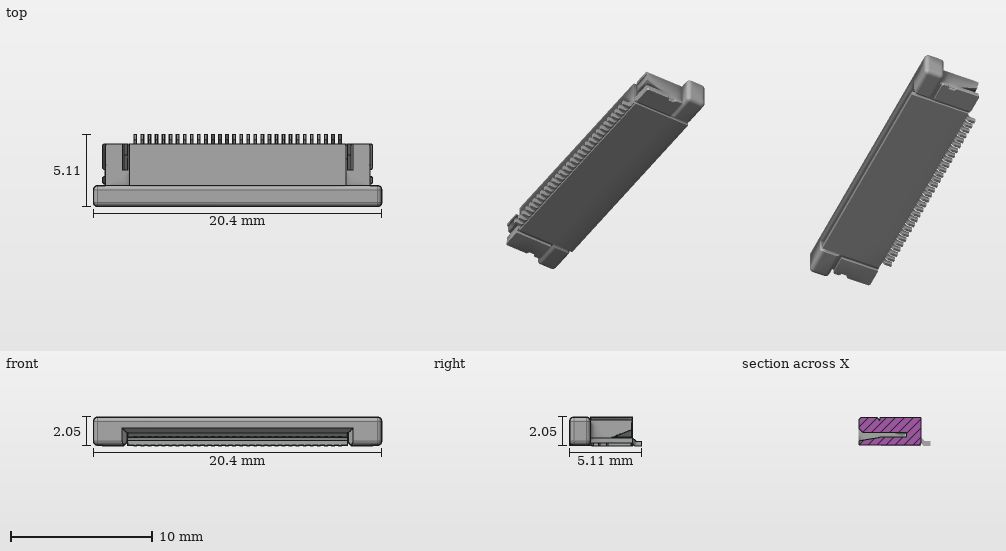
import cadquery as cq


BAR_WIDTH = 20.43
TOTAL_DEPTH = 5.11
TOTAL_HEIGHT = 2.05

BAR_DEPTH = 1.49
BAR_BOTTOM = 0.05
BAR_FILLET = 0.3

PASSAGE_HALF_WIDTH = 7.84
PASSAGE_CORNER_CHAMFER = 0.2
MOUTH_HALF_WIDTH = 7.8
MOUTH_FLOOR = 0.65
MOUTH_CEILING = 0.93
MOUTH_DEPTH = 3.37
LEAD_IN = 0.34

TONGUE_HALF_WIDTH = 7.79
TONGUE_BOTTOM = 0.05
TONGUE_FRONT_TOP = 0.38
TONGUE_BACK_TOP = 0.62

BODY_BACK = 4.45
BODY_HALF_WIDTH = 9.36
BODY_TOP = 1.86
BASE_HALF_WIDTH = 9.39
BASE_BOTTOM = 0.2
BASE_TOP = 0.57
COVER_HALF_WIDTH = 7.67

ARM_BACK_UNDERSIDE = 1.14
ARM_GAP_FRONT = 2.95
ARM_LIP_BOTTOM = 1.62
ARM_BACK = BODY_BACK - 0.08
SLOT_INNER = 7.78
SLOT_OUTER = 8.04
SLOT_CHAMFER = 0.12
SLOT_FLOOR = 0.85
SLOT_FRONT = 2.6

FOOT_INNER = 8.07
FOOT_OUTER = 9.56
FOOT_FRONT = 1.6
FOOT_NOTCH_FRONT = 2.15
FOOT_NOTCH_BACK = 2.62
FOOT_CHAMFER = 0.1

CONTACT_COUNT = 30
CONTACT_PITCH = 0.5
CONTACT_WIDTH = 0.2
CONTACT_TOP = 0.69
CONTACT_FRONT = 1.6
CONTACT_EMBED = 0.1
TAIL_THICKNESS = 0.33
TAIL_ROOT_BOTTOM = 0.15
TAIL_BEND_TOP = 4.73
TAIL_BEND_BOTTOM = 4.62


def block(x0, x1, y0, y1, z0, z1):
    """Box between two opposite corners."""
    return cq.Workplane("XY").box(x1 - x0, y1 - y0, z1 - z0, centered=False).translate((x0, y0, z0))


def extrude_along_x(points, x0, x1):
    """Extrude a closed (Y, Z) outline from x0 to x1."""
    return cq.Workplane("YZ", origin=(x0, 0, 0)).polyline(points).close().extrude(x1 - x0)


def both_ends(piece):
    """The piece together with its mirror image at the other end."""
    return piece.union(piece.mirror("YZ"))


def make_bar():
    bar = block(-BAR_WIDTH / 2, BAR_WIDTH / 2, 0, BAR_DEPTH, BAR_BOTTOM, TOTAL_HEIGHT)
    bar = bar.edges().fillet(BAR_FILLET)
    passage = block(-PASSAGE_HALF_WIDTH, PASSAGE_HALF_WIDTH, 0, BAR_DEPTH, BAR_BOTTOM, MOUTH_CEILING)
    flare = (
        cq.Workplane("XY", origin=(0, BAR_DEPTH / 2, BAR_BOTTOM))
        .rect(2 * (PASSAGE_HALF_WIDTH + PASSAGE_CORNER_CHAMFER), BAR_DEPTH)
        .workplane(offset=PASSAGE_CORNER_CHAMFER)
        .rect(2 * PASSAGE_HALF_WIDTH, BAR_DEPTH)
        .loft(ruled=True)
    )
    lead_in = (
        cq.Workplane("XZ")
        .rect(2 * (PASSAGE_HALF_WIDTH + LEAD_IN), 2 * (MOUTH_CEILING + LEAD_IN))
        .workplane(offset=-LEAD_IN)
        .rect(2 * PASSAGE_HALF_WIDTH, 2 * MOUTH_CEILING)
        .loft(ruled=True)
    )
    return bar.cut(passage).cut(flare).cut(lead_in)


def make_tongue():
    """Ramp under the mouth, carried on below the body as its floor."""
    outline = [
        (0, TONGUE_BOTTOM),
        (0, TONGUE_FRONT_TOP),
        (BAR_DEPTH, TONGUE_BACK_TOP),
        (BAR_DEPTH, MOUTH_FLOOR),
        (ARM_BACK, MOUTH_FLOOR),
        (ARM_BACK, TONGUE_BOTTOM),
    ]
    return extrude_along_x(outline, -TONGUE_HALF_WIDTH, TONGUE_HALF_WIDTH)


def make_arm_openings():
    """Space under and beside the locking arm at the -X end."""
    under_arm = extrude_along_x(
        [
            (ARM_GAP_FRONT, BASE_TOP),
            (ARM_BACK, ARM_BACK_UNDERSIDE),
            (ARM_BACK, ARM_LIP_BOTTOM),
            (BODY_BACK, ARM_LIP_BOTTOM),
            (BODY_BACK, BASE_TOP),
        ],
        -BODY_HALF_WIDTH,
        -SLOT_INNER,
    )
    slot = (
        cq.Workplane("XZ", origin=(0, BODY_BACK, 0))
        .polyline([
            (-SLOT_OUTER - SLOT_CHAMFER, BODY_TOP),
            (-SLOT_INNER, BODY_TOP),
            (-SLOT_INNER, SLOT_FLOOR),
            (-SLOT_OUTER, SLOT_FLOOR),
            (-SLOT_OUTER, BODY_TOP - SLOT_CHAMFER),
        ])
        .close()
        .extrude(BODY_BACK - SLOT_FRONT)
    )
    setback = block(-SLOT_INNER, -COVER_HALF_WIDTH, ARM_BACK, BODY_BACK, BASE_BOTTOM, BODY_TOP)
    return under_arm.union(slot).union(setback)


def make_body():
    base = block(-BASE_HALF_WIDTH, BASE_HALF_WIDTH, BAR_DEPTH, BODY_BACK, BASE_BOTTOM, BASE_TOP)
    upper = block(-BODY_HALF_WIDTH, BODY_HALF_WIDTH, BAR_DEPTH, BODY_BACK, BASE_TOP, BODY_TOP)
    cover = block(-COVER_HALF_WIDTH, COVER_HALF_WIDTH, BAR_DEPTH, BODY_BACK, BODY_TOP, TOTAL_HEIGHT)
    cavity = block(-MOUTH_HALF_WIDTH, MOUTH_HALF_WIDTH, BAR_DEPTH, MOUTH_DEPTH, MOUTH_FLOOR, MOUTH_CEILING)
    return base.union(upper).union(cover).cut(cavity).cut(both_ends(make_arm_openings()))


def make_foot():
    """Mounting foot at the -X end, with a notch in its outer edge."""
    plate = block(-BODY_HALF_WIDTH, -FOOT_INNER, FOOT_FRONT, BODY_BACK, 0, BASE_BOTTOM)
    for y0, y1 in ((FOOT_FRONT, FOOT_NOTCH_FRONT), (FOOT_NOTCH_BACK, BODY_BACK)):
        tab = block(-FOOT_OUTER, -FOOT_INNER, y0, y1, 0, BASE_BOTTOM)
        plate = plate.union(tab.edges("|Z and <X").chamfer(FOOT_CHAMFER))
    return plate


def make_contact(x):
    """Contact strip on the mouth floor and its solder tail, centred on x."""
    x0 = x - CONTACT_WIDTH / 2
    x1 = x + CONTACT_WIDTH / 2
    strip_back = MOUTH_DEPTH + CONTACT_EMBED
    strip_bottom = MOUTH_FLOOR - CONTACT_EMBED
    strip = block(x0, x1, CONTACT_FRONT, strip_back, strip_bottom, CONTACT_TOP)
    root = BODY_BACK - CONTACT_EMBED
    tail = extrude_along_x(
        [
            (TOTAL_DEPTH, 0),
            (TOTAL_DEPTH, TAIL_THICKNESS),
            (TAIL_BEND_TOP, TAIL_THICKNESS),
            (BODY_BACK, BASE_TOP),
            (root, BASE_TOP),
            (root, TAIL_ROOT_BOTTOM),
            (BODY_BACK, TAIL_ROOT_BOTTOM),
            (TAIL_BEND_BOTTOM, 0),
        ],
        x0,
        x1,
    )
    return strip, tail


result = make_bar().union(make_tongue()).union(make_body()).union(both_ends(make_foot()))
first_contact = -(CONTACT_COUNT - 1) * CONTACT_PITCH / 2
for index in range(CONTACT_COUNT):
    for piece in make_contact(first_contact + index * CONTACT_PITCH):
        result = result.union(piece)